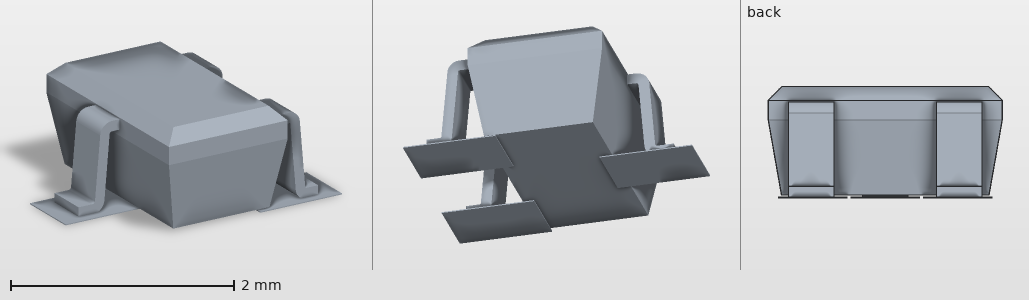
import cadquery as cq
import math

body_length = 2.1
body_width = 1.25
body_bottom = 0.025
band_bottom = 0.7
band_top = 0.875
body_top = 1.0
top_chamfer = body_top - band_top
draft_angle = 10.0

pad_width = 0.61
pad_length = 0.86
pad_thickness = 0.01
pad_outer_y = 1.255
pad_pitch = 1.3

lead_width = 0.41
lead_thickness = 0.1
lead_pitch = 1.325
lead_top = 0.86
foot_tip_y = 1.057
leg_tilt = 5.0

pair_shoulder_end = 0.755
pair_inner_radius = 0.01
single_shoulder_end = 0.705
single_inner_radius = 0.025


def make_body():
    """Straight band with a tapered lower part and a chamfered top."""
    band = (
        cq.Workplane("XY", origin=(0, 0, band_bottom))
        .rect(body_length, body_width)
        .extrude(body_top - band_bottom)
        .faces(">Z")
        .chamfer(top_chamfer)
    )
    lower = (
        cq.Workplane("XY", origin=(0, 0, band_bottom))
        .rect(body_length, body_width)
        .extrude(body_bottom - band_bottom, taper=draft_angle)
    )
    return band.union(lower)


def on_circle(center, radius, angle):
    """Point on a circle in the (Y, Z) plane, angle in degrees from +Y."""
    turn = math.radians(angle)
    return (center[0] + radius * math.cos(turn), center[1] + radius * math.sin(turn))


def make_lead(center_x, shoulder_end, inner_radius):
    """Z-bent strip on the +Y side, from the body wall down to the foot."""
    outer_radius = inner_radius + lead_thickness
    tilt = math.radians(leg_tilt)
    upper_z = lead_top - outer_radius
    lower_z = outer_radius
    bend_offset = (outer_radius + inner_radius + (upper_z - lower_z) * math.sin(tilt)) / math.cos(tilt)
    upper = (shoulder_end, upper_z)
    lower = (shoulder_end + bend_offset, lower_z)
    upper_mid = (leg_tilt + 90) / 2
    lower_mid = upper_mid + 180
    wall_y = body_width / 2

    return (
        cq.Workplane("YZ", origin=(center_x - lead_width / 2, 0, 0))
        .moveTo(wall_y, lead_top)
        .lineTo(*on_circle(upper, outer_radius, 90))
        .threePointArc(on_circle(upper, outer_radius, upper_mid), on_circle(upper, outer_radius, leg_tilt))
        .lineTo(*on_circle(lower, inner_radius, leg_tilt + 180))
        .threePointArc(on_circle(lower, inner_radius, lower_mid), on_circle(lower, inner_radius, 270))
        .lineTo(foot_tip_y, lead_thickness)
        .lineTo(foot_tip_y, 0)
        .lineTo(*on_circle(lower, outer_radius, 270))
        .threePointArc(on_circle(lower, outer_radius, lower_mid), on_circle(lower, outer_radius, leg_tilt + 180))
        .lineTo(*on_circle(upper, inner_radius, leg_tilt))
        .threePointArc(on_circle(upper, inner_radius, upper_mid), on_circle(upper, inner_radius, 90))
        .lineTo(wall_y, lead_top - lead_thickness)
        .close()
        .extrude(lead_width)
    )


def make_pad(center_x):
    """Thin solder pad under a lead on the +Y side."""
    return (
        cq.Workplane("XY")
        .center(center_x, pad_outer_y - pad_length / 2)
        .rect(pad_width, pad_length)
        .extrude(pad_thickness)
    )


result = make_body()
for side in (-1, 1):
    lead = make_lead(side * lead_pitch / 2, pair_shoulder_end, pair_inner_radius)
    result = result.union(lead).union(make_pad(side * pad_pitch / 2))

single_terminal = make_lead(0, single_shoulder_end, single_inner_radius).union(make_pad(0))
result = result.union(single_terminal.rotate((0, 0, 0), (0, 0, 1), 180))